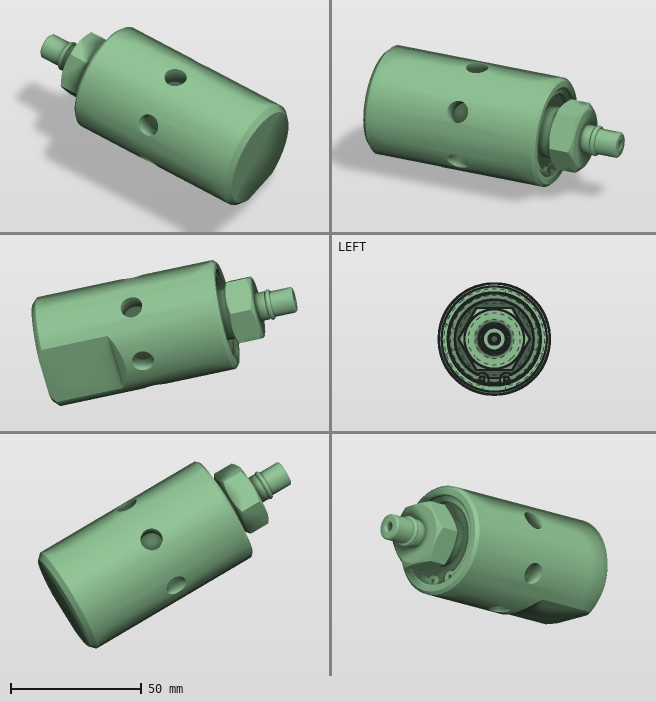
import cadquery as cq
import math


TOTAL_LENGTH = 99.3
HOUSING_START = 26.8
HOUSING_RADIUS = 42.8 / 2
FRONT_CHAMFER = 1.2
REAR_CHAMFER = 2.1

BORE_RADIUS = 35.1 / 2
BORE_CHAMFER = 0.4
RING_DEPTH = 1.5
RING_THICKNESS = 1.5
RING_INNER_RADIUS = 30.4 / 2
RACE_INNER_RADIUS = 30.1 / 2
RACE_CHAMFER = 0.7
SHIELD_RECESS = 0.5

LUG_OFFSET_Y = 4.7
LUG_OFFSET_Z = -15.4
LUG_RADIUS = 2.4
LUG_HOLE_DIAMETER = 2.0
RING_GAP = 4.6

RADIAL_HOLE_COUNT = 6
RADIAL_HOLE_X = 60.0
RADIAL_HOLE_DIAMETER = 8.5
RADIAL_HOLE_FLOOR_RADIUS = 13.9

FLAT_DISTANCE = 17.6
FLAT_START = 71.0

TIP_RADIUS = 10.0 / 2
TIP_CHAMFER = 0.6
GROOVE_START = 8.5
GROOVE_END = 10.8
GROOVE_RADIUS = 8.5 / 2
BEAD_X = 9.6
BEAD_CENTRE_RADIUS = 5.1
BEAD_SECTION_RADIUS = 0.9
NECK_RADIUS = 11.0 / 2
RELIEF_WIDTH = 0.6
RELIEF_DEPTH = 0.1

HEX_START = 14.5
HEX_END = 24.9
HEX_ACROSS_FLATS = 23.8
HEX_FACE_RADIUS = 11.4
HEX_SIDES = 6
HEX_CHAMFER_ANGLE = 30.0

COLLAR_RADIUS = 20.0 / 2
COLLAR_FILLET = 0.6
JOURNAL_RADIUS = 15.0 / 2
JOURNAL_LENGTH = 11.0
PASSAGE_RADIUS = 3.2 / 2
PASSAGE_CHAMFER = 0.6

RING_FRONT = HOUSING_START + RING_DEPTH
RACE_FACE = RING_FRONT + RING_THICKNESS
SHIELD_FACE = RACE_FACE + SHIELD_RECESS
ROTOR_END = SHIELD_FACE + JOURNAL_LENGTH


def turned(points):
    """Revolve an outline of (x, radius) points about the X axis."""
    return cq.Workplane("XY").polyline(points).close().revolve(360, (0, 0, 0), (1, 0, 0))


def rod(start, end, radius):
    """Cylinder on the X axis."""
    return cq.Workplane("YZ").workplane(offset=start).circle(radius).extrude(end - start)


def housing_blank():
    return turned([
        (HOUSING_START, 0),
        (HOUSING_START, HOUSING_RADIUS - FRONT_CHAMFER),
        (HOUSING_START + FRONT_CHAMFER, HOUSING_RADIUS),
        (TOTAL_LENGTH - REAR_CHAMFER, HOUSING_RADIUS),
        (TOTAL_LENGTH, HOUSING_RADIUS - REAR_CHAMFER),
        (TOTAL_LENGTH, 0),
    ])


def front_bore():
    """Space in front of the bearing, with the chamfered race edge and the recessed shield."""
    return turned([
        (HOUSING_START, 0),
        (HOUSING_START, BORE_RADIUS + BORE_CHAMFER),
        (HOUSING_START + BORE_CHAMFER, BORE_RADIUS),
        (RACE_FACE + RACE_CHAMFER, BORE_RADIUS),
        (RACE_FACE, BORE_RADIUS - RACE_CHAMFER),
        (RACE_FACE, RACE_INNER_RADIUS),
        (SHIELD_FACE, RACE_INNER_RADIUS),
        (SHIELD_FACE, 0),
    ])


def retaining_ring():
    """Internal circlip, open at the bottom between two lugs with plier holes."""
    plane = cq.Workplane("YZ").workplane(offset=RING_FRONT)
    lug_centres = [(-LUG_OFFSET_Y, LUG_OFFSET_Z), (LUG_OFFSET_Y, LUG_OFFSET_Z)]
    disc = plane.circle(BORE_RADIUS).extrude(RING_THICKNESS)
    ring = disc.cut(plane.circle(RING_INNER_RADIUS).extrude(RING_THICKNESS))
    lugs = plane.pushPoints(lug_centres).circle(LUG_RADIUS).extrude(RING_THICKNESS)
    gap = (
        plane.center(0, -BORE_RADIUS)
        .rect(RING_GAP, BORE_RADIUS)
        .extrude(RING_THICKNESS)
    )
    holes = plane.pushPoints(lug_centres).circle(LUG_HOLE_DIAMETER / 2).extrude(RING_THICKNESS)
    return ring.union(lugs.intersect(disc)).cut(gap).cut(holes)


def radial_holes():
    """Blind holes around the housing that end on a cylinder about the X axis."""
    hole = (
        cq.Workplane("XY")
        .center(RADIAL_HOLE_X, 0)
        .circle(RADIAL_HOLE_DIAMETER / 2)
        .extrude(HOUSING_RADIUS)
    )
    core = rod(HOUSING_START, TOTAL_LENGTH, RADIAL_HOLE_FLOOR_RADIUS)
    hole = hole.cut(core)
    step = 360 / RADIAL_HOLE_COUNT
    return [hole.rotate((0, 0, 0), (1, 0, 0), i * step) for i in range(RADIAL_HOLE_COUNT)]


def rear_flat():
    ramp = HOUSING_RADIUS - FLAT_DISTANCE
    return (
        cq.Workplane("XZ")
        .polyline([
            (FLAT_START - ramp, -HOUSING_RADIUS),
            (FLAT_START, -FLAT_DISTANCE),
            (TOTAL_LENGTH, -FLAT_DISTANCE),
            (TOTAL_LENGTH, -HOUSING_RADIUS),
        ])
        .close()
        .extrude(HOUSING_RADIUS, both=True)
    )


def make_housing():
    body = housing_blank().cut(front_bore()).union(retaining_ring())
    body = body.cut(rod(SHIELD_FACE, ROTOR_END, JOURNAL_RADIUS))
    for hole in radial_holes():
        body = body.cut(hole)
    return body.cut(rear_flat())


def rotor_tip():
    """Stepped shaft end with an O-ring bead in its groove and a shallow relief at the hexagon."""
    shaft = turned([
        (0, 0),
        (0, TIP_RADIUS - TIP_CHAMFER),
        (TIP_CHAMFER, TIP_RADIUS),
        (GROOVE_START, TIP_RADIUS),
        (GROOVE_START, GROOVE_RADIUS),
        (GROOVE_END, GROOVE_RADIUS),
        (GROOVE_END, NECK_RADIUS),
        (HEX_START - RELIEF_WIDTH, NECK_RADIUS),
        (HEX_START - RELIEF_WIDTH, NECK_RADIUS - RELIEF_DEPTH),
        (HEX_START, NECK_RADIUS - RELIEF_DEPTH),
        (HEX_START, 0),
    ])
    bead = (
        cq.Workplane("XY")
        .center(BEAD_X, BEAD_CENTRE_RADIUS)
        .circle(BEAD_SECTION_RADIUS)
        .revolve(360, (0, -BEAD_CENTRE_RADIUS, 0), (1, -BEAD_CENTRE_RADIUS, 0))
    )
    return shaft.union(bead)


def hexagon():
    """Hexagon with flats up and down and its corners turned off at both ends."""
    length = HEX_END - HEX_START
    corner_radius = HEX_ACROSS_FLATS / 2 / math.cos(math.pi / HEX_SIDES)
    chamfer_depth = (corner_radius - HEX_FACE_RADIUS) * math.tan(math.radians(HEX_CHAMFER_ANGLE))
    prism = (
        cq.Workplane("YZ")
        .workplane(offset=HEX_START)
        .polygon(HEX_SIDES, 2 * corner_radius)
        .extrude(length)
    )
    envelope = turned([
        (HEX_START, 0),
        (HEX_START, HEX_FACE_RADIUS),
        (HEX_START + chamfer_depth, corner_radius),
        (HEX_END - chamfer_depth, corner_radius),
        (HEX_END, HEX_FACE_RADIUS),
        (HEX_END, 0),
    ])
    return prism.intersect(envelope)


def collar_and_journal():
    """Collar with a fillet against the hexagon, then the journal inside the bearing."""
    return (
        cq.Workplane("XY")
        .moveTo(HEX_END, 0)
        .lineTo(HEX_END, COLLAR_RADIUS + COLLAR_FILLET)
        .radiusArc((HEX_END + COLLAR_FILLET, COLLAR_RADIUS), -COLLAR_FILLET)
        .lineTo(SHIELD_FACE, COLLAR_RADIUS)
        .lineTo(SHIELD_FACE, JOURNAL_RADIUS)
        .lineTo(ROTOR_END, JOURNAL_RADIUS)
        .lineTo(ROTOR_END, 0)
        .close()
        .revolve(360, (0, 0, 0), (1, 0, 0))
    )


def passage():
    """Bore along the whole rotor, chamfered at the free end."""
    return turned([
        (0, 0),
        (0, PASSAGE_RADIUS + PASSAGE_CHAMFER),
        (PASSAGE_CHAMFER, PASSAGE_RADIUS),
        (ROTOR_END, PASSAGE_RADIUS),
        (ROTOR_END, 0),
    ])


def make_rotor():
    return rotor_tip().union(hexagon()).union(collar_and_journal()).cut(passage())


housing = make_housing()
rotor = make_rotor()

result = cq.Compound.makeCompound([housing.val(), rotor.val()])